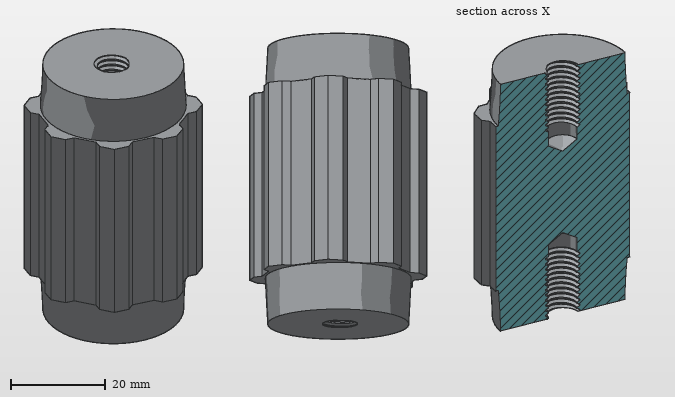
import cadquery as cq
import math

total_height = 60.0
boss_height = 10.0
body_height = total_height - 2 * boss_height

boss_tip_diameter = 30.0
boss_draft_angle = 3.0
boss_root_diameter = boss_tip_diameter + 2 * boss_height * math.tan(math.radians(boss_draft_angle))

side_count = 8
across_flats = 35.0
groove_floor_width = 5.0
groove_depth = 1.4
groove_mouth_width = groove_floor_width + 2 * groove_depth

thread_minor_diameter = 6.78
thread_major_diameter = 8.17
thread_pitch = 1.25
thread_length = 15.0
thread_root_width = thread_pitch / 8
thread_flank_angle = 30.0
thread_start_angle = 180.0
hole_depth = 18.0
drill_point_angle = 118.0
flank_overlap = 0.25


def grip_body():
    """Octagonal prism between the bosses, one straight groove along each flat."""
    octagon_diameter = across_flats / math.cos(math.pi / side_count)
    body = (
        cq.Workplane("XY")
        .polygon(side_count, octagon_diameter)
        .extrude(body_height)
        .rotate((0, 0, 0), (0, 0, 1), 180 / side_count)
    )
    flat_y = across_flats / 2
    groove = (
        cq.Workplane("XY")
        .moveTo(-groove_mouth_width / 2, flat_y)
        .lineTo(-groove_floor_width / 2, flat_y - groove_depth)
        .lineTo(groove_floor_width / 2, flat_y - groove_depth)
        .lineTo(groove_mouth_width / 2, flat_y)
        .close()
        .extrude(body_height)
    )
    for index in range(side_count):
        body = body.cut(groove.rotate((0, 0, 0), (0, 0, 1), index * 360 / side_count))
    return body.translate((0, 0, -body_height / 2))


def end_boss():
    """Conical boss on the upper end of the grip body."""
    return (
        cq.Workplane("XY", origin=(0, 0, body_height / 2))
        .circle(boss_root_diameter / 2)
        .workplane(offset=boss_height)
        .circle(boss_tip_diameter / 2)
        .loft()
    )


def drilled_core():
    """Minor-diameter bore with a conical drill point, opening at the top face."""
    radius = thread_minor_diameter / 2
    top = total_height / 2
    point_depth = radius / math.tan(math.radians(drill_point_angle / 2))
    return (
        cq.Workplane("YZ")
        .moveTo(0, top)
        .lineTo(radius, top)
        .lineTo(radius, top - hole_depth)
        .lineTo(0, top - hole_depth - point_depth)
        .close()
        .revolve(360, (0, 0, 0), (0, 1, 0))
    )


def thread_ridge():
    """Cutter with a helical 60 degree thread form that runs out through the top face."""
    top = total_height / 2
    base = top - thread_length
    inner_radius = thread_minor_diameter / 2 - flank_overlap
    outer_radius = thread_major_diameter / 2
    half_root = thread_root_width / 2
    half_mouth = half_root + (outer_radius - inner_radius) * math.tan(math.radians(thread_flank_angle))
    helix = cq.Wire.makeHelix(thread_pitch, thread_length + thread_pitch, inner_radius)
    return (
        cq.Workplane("XZ")
        .moveTo(inner_radius, -half_mouth)
        .lineTo(outer_radius, -half_root)
        .lineTo(outer_radius, half_root)
        .lineTo(inner_radius, half_mouth)
        .close()
        .sweep(cq.Workplane(obj=helix), isFrenet=True)
        .rotate((0, 0, 0), (0, 0, 1), thread_start_angle)
        .translate((0, 0, base))
    )


upper_boss = end_boss()
upper_bore = drilled_core()
upper_thread = thread_ridge()

result = grip_body()
for flip_angle in (0, 180):
    result = result.union(upper_boss.rotate((0, 0, 0), (1, 0, 0), flip_angle))
for flip_angle in (0, 180):
    result = result.cut(upper_bore.rotate((0, 0, 0), (1, 0, 0), flip_angle))
    result = result.cut(upper_thread.rotate((0, 0, 0), (1, 0, 0), flip_angle))